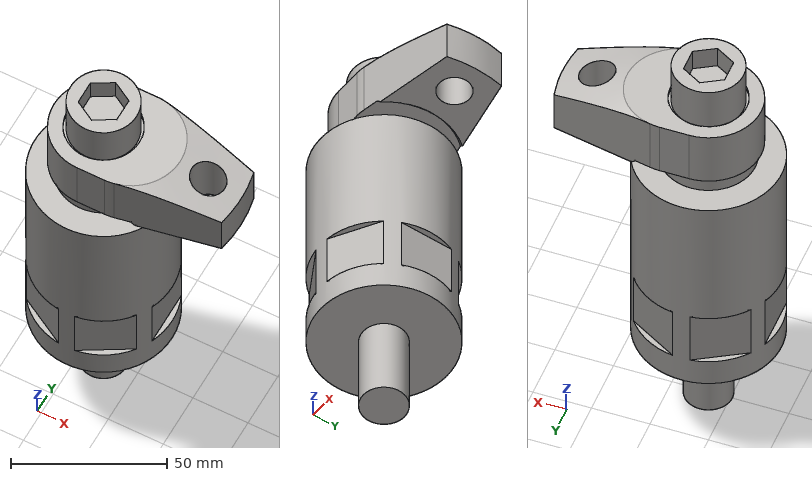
import cadquery as cq
import math

total_height = 151.0

shank_diameter = 16.3
head_diameter = 24.0
head_height = 16.0
hex_across_flats = 14.0
hex_depth = 8.0

barrel_diameter = 50.0
barrel_bottom = 29.9
barrel_height = 80.0
collar_diameter = 32.0
flat_count = 6
flat_distance = 23.0
flat_height = 20.0
flat_base_offset = 10.1

arm_bottom = 116.3
arm_top = 136.4
hub_radius = 18.0
hub_offset = 10.0
tip_radius = 50.0
tip_half_width = 10.9
tail_drop = 1.4
tail_relief_radius = 25.0
tail_relief_flare = 0.9
tail_slope_angle = 15.5
tip_hole_diameter = 12.0
tip_hole_distance = 38.0
head_recess_diameter = 26.0

barrel_radius = barrel_diameter / 2
barrel_top = barrel_bottom + barrel_height
head_seat = total_height - head_height
tail_bottom = arm_bottom - tail_drop
tip_corner_x = math.sqrt(tip_radius**2 - tip_half_width**2)


def cylinder(diameter, bottom, top, x=0):
    """Vertical cylinder centred at (x, 0)."""
    return cq.Workplane("XY", origin=(x, 0, bottom)).circle(diameter / 2).extrude(top - bottom)


def make_bolt():
    """Socket head bolt whose shank runs through the arm and the housing."""
    shank = cylinder(shank_diameter, 0, head_seat)
    head = cylinder(head_diameter, head_seat, total_height)
    across_corners = hex_across_flats / math.cos(math.pi / 6)
    socket = (
        cq.Workplane("XY", origin=(0, 0, total_height - hex_depth))
        .polygon(6, across_corners)
        .extrude(hex_depth)
        .rotate((0, 0, 0), (0, 0, 1), 30)
    )
    return shank.union(head).cut(socket)


def make_housing():
    """Barrel and collar with a through bore and a ring of milled flats."""
    housing = cylinder(barrel_diameter, barrel_bottom, barrel_top)
    housing = housing.union(cylinder(collar_diameter, barrel_top, arm_bottom))
    flat_depth = barrel_radius - flat_distance
    flat_cutter = (
        cq.Workplane("XY", origin=(flat_distance + flat_depth / 2, 0, barrel_bottom + flat_base_offset))
        .rect(flat_depth, barrel_diameter)
        .extrude(flat_height)
    )
    for index in range(flat_count):
        angle = index * 360 / flat_count
        housing = housing.cut(flat_cutter.rotate((0, 0, 0), (0, 0, 1), angle))
    return housing.cut(cylinder(shank_diameter, barrel_bottom, arm_bottom))


def make_hub():
    """Rounded slot shape around the bolt."""
    return (
        cq.Workplane("XY", origin=(hub_offset / 2, 0, arm_bottom))
        .slot2D(hub_offset + 2 * hub_radius, 2 * hub_radius)
        .extrude(arm_top - arm_bottom)
    )


def make_tail():
    """Tapered tail, tangent to the outer hub end, with a conical top and a relieved underside."""
    reach_x = tip_corner_x - hub_offset
    corner_angle = math.atan2(tip_half_width, reach_x)
    tangent_angle = corner_angle + math.acos(hub_radius / math.hypot(reach_x, tip_half_width))
    tangent_x = hub_offset + hub_radius * math.cos(tangent_angle)
    tangent_y = hub_radius * math.sin(tangent_angle)
    tail = (
        cq.Workplane("XY", origin=(0, 0, tail_bottom))
        .moveTo(tangent_x, -tangent_y)
        .lineTo(tip_corner_x, -tip_half_width)
        .threePointArc((tip_radius, 0), (tip_corner_x, tip_half_width))
        .lineTo(tangent_x, tangent_y)
        .close()
        .extrude(arm_top - tail_bottom)
    )
    slope = math.tan(math.radians(tail_slope_angle))
    cone_radius = hub_radius + (arm_top - tail_bottom) / slope
    cone = (
        cq.Workplane("XZ")
        .polyline([(0, tail_bottom), (cone_radius, tail_bottom), (hub_radius, arm_top), (0, arm_top)])
        .close()
        .revolve(360, (0, 0, 0), (0, 1, 0))
        .translate((hub_offset, 0, 0))
    )
    relief = (
        cq.Workplane("XZ")
        .polyline([
            (0, tail_bottom),
            (tail_relief_radius + tail_relief_flare, tail_bottom),
            (tail_relief_radius, arm_bottom),
            (0, arm_bottom),
        ])
        .close()
        .revolve(360, (0, 0, 0), (0, 1, 0))
    )
    return tail.intersect(cone).cut(relief)


def make_arm():
    """Clamp arm: hub and tail with the bolt hole, head recess and tip hole."""
    arm = make_hub().union(make_tail())
    arm = arm.cut(cylinder(shank_diameter, arm_bottom, arm_top))
    arm = arm.cut(cylinder(head_recess_diameter, head_seat, arm_top))
    return arm.cut(cylinder(tip_hole_diameter, tail_bottom, arm_top, tip_hole_distance))


bolt = make_bolt()
housing = make_housing()
arm = make_arm()

result = cq.Compound.makeCompound([bolt.val(), housing.val(), arm.val()])